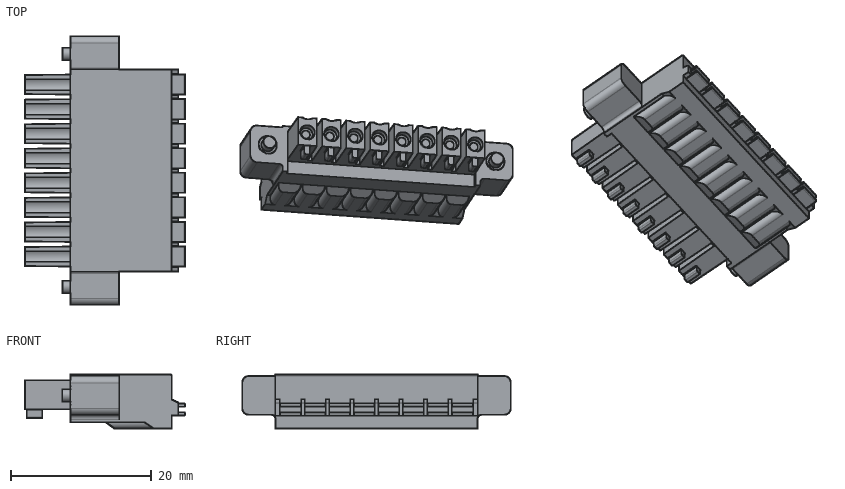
import cadquery as cq

pole_count = 8
pitch = 3.5
pole_ys = [(i - (pole_count - 1) / 2) * pitch for i in range(pole_count)]

total_length = 22.8
total_width = 38.3
total_height = 7.75

housing_front = 6.48
housing_back = 20.92
housing_width = 28.8
housing_floor = 0.92
top_edge_radius = 0.22
axis_z = 4.74

front_ramp_start = 11.5
front_ramp_end = 12.8
rear_ramp_start = 17.02
rear_ramp_end = 18.4
bump_width = 3.28
bump_radius = 0.9

recess_width = 27.4
recess_depth = 0.85

flange_back = 13.4
flange_bottom = 1.98
flange_top = 7.53
flange_corner_radius = 0.97
flange_root_radius = 0.6
flange_top_root_radius = total_height - flange_top
screw_y = 16.6
screw_diameter = 1.8
screw_hole_diameter = 2.65
screw_hole_depth = 0.3
screw_tip_x = 5.31

finger_bottom = 2.77
finger_top = 6.94
finger_tip_width = 2.74
finger_root_width = 2.88
groove_width = 1.56
groove_depth = 0.22
mouth_diameter = 2.14
mouth_end_diameter = 1.88
mouth_depth = 0.9
floor_diameter = 1.2
socket_depth = 1.05

tab_front = 0.23
tab_back = 2.48
tab_width = 0.82
tab_bottom = 1.5
tab_flare = 0.1
tab_edge_radius = 0.2

contact_width = 2.9
contact_thickness = 0.5
contact_bottoms = (1.86, 3.1)
contact_tip_radius = 0.15
fin_gap = 0.05
fin_back = 21.87
fin_bottom = 1.88
fin_root_top = 4.19
fin_tip_top = 3.71
fin_edge_radius = 0.15


def box(x0, x1, y0, y1, z0, z1):
    """Box between two opposite corners."""
    return cq.Workplane("XY").box(x1 - x0, y1 - y0, z1 - z0, centered=False).translate((x0, y0, z0))


def rod(x0, x1, y, diameter):
    """Cylinder along X at the height of the socket axes."""
    return (
        cq.Workplane("YZ", origin=(x0, y, axis_z))
        .circle(diameter / 2)
        .extrude(x1 - x0)
    )


def side_profile(points, y0, y1):
    """Extrude an XZ outline between two Y positions."""
    return cq.Workplane("XZ", origin=(0, y0, 0)).polyline(points).close().extrude(y0 - y1)


def make_housing():
    """Main block with a rounded rear top edge and a ramped rear foot."""
    half = housing_width / 2
    block = box(housing_front, housing_back, -half, half, housing_floor, total_height)
    block = block.edges(">X and >Z").fillet(top_edge_radius)
    rear_foot = side_profile(
        [
            (rear_ramp_start, housing_floor),
            (housing_back, housing_floor),
            (housing_back, 0),
            (rear_ramp_end, 0),
        ],
        -half,
        half,
    )
    return block.union(rear_foot)


def make_bump(y):
    """Round-edged rib on the housing bottom, with a sloping front end."""
    half = bump_width / 2
    rib = side_profile(
        [
            (front_ramp_start, housing_floor),
            (rear_ramp_end, housing_floor),
            (rear_ramp_end, 0),
            (front_ramp_end, 0),
        ],
        y - half,
        y + half,
    )
    rounded = box(front_ramp_start, rear_ramp_end, y - half, y + half, 0, finger_bottom)
    rounded = rounded.edges("|X and <Z").fillet(bump_radius)
    return rib.intersect(rounded)


def make_flanges():
    """Flange bar across the housing, with rounded tips and filleted roots."""
    half = total_width / 2
    housing_half = housing_width / 2
    bar = box(housing_front, flange_back, -half, half, flange_bottom, flange_top)
    bar = bar.edges("|X").fillet(flange_corner_radius)
    for side in (-1, 1):
        bar = bar.union(make_root(side * housing_half, side, flange_bottom, -1, flange_root_radius))
        bar = bar.union(make_root(side * housing_half, side, flange_top, 1, flange_top_root_radius))
    return bar


def make_root(y, y_side, z, z_side, radius):
    """Concave fillet strip in the corner between a flange and the housing."""
    y_out = y + y_side * radius
    z_out = z + z_side * radius
    block = box(
        housing_front, flange_back, min(y, y_out), max(y, y_out), min(z, z_out), max(z, z_out)
    )
    hollow = (
        cq.Workplane("YZ", origin=(housing_front, y_out, z_out))
        .circle(radius)
        .extrude(flange_back - housing_front)
    )
    return block.cut(hollow)


def make_recess():
    """Shallow step across the housing front, below the fingers."""
    half = recess_width / 2
    recess_back = housing_front + recess_depth
    return box(housing_front, recess_back, -half, half, housing_floor, finger_bottom)


def make_finger(y):
    """Tapered finger with a grooved top and a coding tab underneath."""
    tip = finger_tip_width / 2
    root = finger_root_width / 2
    finger = (
        cq.Workplane("XY", origin=(0, y, finger_bottom))
        .polyline([(0, -tip), (housing_front, -root), (housing_front, root), (0, tip)])
        .close()
        .extrude(finger_top - finger_bottom)
    )
    half_groove = groove_width / 2
    groove = (
        cq.Workplane("YZ", origin=(0, y, finger_top))
        .moveTo(-half_groove, 0)
        .threePointArc((0, -groove_depth), (half_groove, 0))
        .close()
        .extrude(housing_front)
    )
    return finger.cut(groove).union(make_tab(y))


def make_tab(y):
    """Coding tab with a flared root and rounded lower edges."""
    half = tab_width / 2
    flare_half = half + tab_flare
    return (
        cq.Workplane("YZ", origin=(tab_front, y, 0))
        .moveTo(-flare_half, finger_bottom)
        .lineTo(-half, finger_bottom - tab_flare)
        .lineTo(-half, tab_bottom)
        .lineTo(half, tab_bottom)
        .lineTo(half, finger_bottom - tab_flare)
        .lineTo(flare_half, finger_bottom)
        .close()
        .extrude(tab_back - tab_front)
        .edges("|X and <Z")
        .fillet(tab_edge_radius)
    )


def make_socket(y):
    """Hole into a finger tip: slightly drafted mouth, then a cone down to a flat floor."""
    return (
        cq.Workplane("XY")
        .lineTo(0, mouth_diameter / 2)
        .lineTo(mouth_depth, mouth_end_diameter / 2)
        .lineTo(socket_depth, floor_diameter / 2)
        .lineTo(socket_depth, 0)
        .close()
        .revolve(360, (0, 0, 0), (1, 0, 0))
        .translate((0, y, axis_z))
    )


def make_contact(y, z):
    """Contact blade with a rounded tip, its lower face at height z."""
    half = contact_width / 2
    blade = box(housing_back, total_length, y - half, y + half, z, z + contact_thickness)
    return blade.edges(">X and |Y").fillet(contact_tip_radius)


def make_fins():
    """Rear nub along the housing, split by a slot around every contact pair."""
    half = housing_width / 2
    fins = side_profile(
        [
            (housing_back, fin_bottom),
            (fin_back, fin_bottom),
            (fin_back, fin_tip_top),
            (housing_back, fin_root_top),
        ],
        -half,
        half,
    )
    fins = fins.edges(">X and |Y").edges(">Z").fillet(fin_edge_radius)
    slot_half = contact_width / 2 + fin_gap
    for y in pole_ys:
        fins = fins.cut(
            box(housing_back, fin_back, y - slot_half, y + slot_half, fin_bottom, fin_root_top)
        )
    return fins


result = make_housing().union(make_flanges()).cut(make_recess()).union(make_fins())
for pole_y in pole_ys:
    result = result.union(make_bump(pole_y)).union(make_finger(pole_y))
    result = result.cut(make_socket(pole_y))
    for contact_z in contact_bottoms:
        result = result.union(make_contact(pole_y, contact_z))

screw_hole_floor = housing_front + screw_hole_depth
for y in (-screw_y, screw_y):
    result = result.cut(rod(housing_front, screw_hole_floor, y, screw_hole_diameter))
    result = result.union(rod(screw_tip_x, screw_hole_floor, y, screw_diameter))